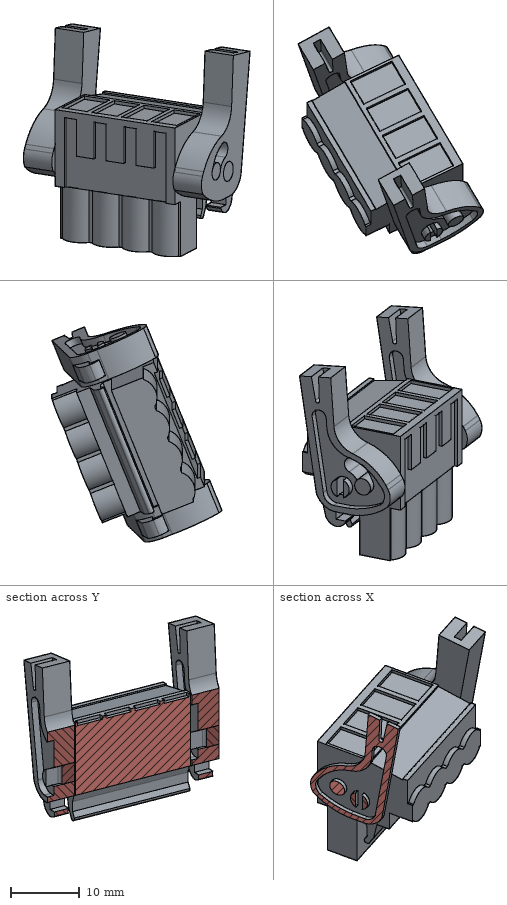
import cadquery as cq
import math


total_length = 29.7
pole_count = 4
pole_pitch = 5.0
lever_gap = 0.12
housing_length = pole_count * pole_pitch
housing_end = housing_length / 2
lever_width = total_length / 2 - housing_end - lever_gap
pole_places = [(i - (pole_count - 1) / 2) * pole_pitch for i in range(pole_count)]

housing_front = -7.42
housing_top = 11.7
top_ledge_y = 1.55
slope_top = 11.4
slope_bottom = 10.37
rim_top = 10.6
rim_y = 7.0
back_wall_y = 7.85
base_back_y = 4.72

bulge_chord = 4.43
socket_back_y = 8.67
socket_bottom = 3.05
socket_top = 6.18
socket_bulge = 1.15
post_back_y = -0.75
post_front_y = -5.73
post_bottom = -8.38
post_bulge = 0.98

recess_depth = 0.5
window_width = 4.22
window_back_y = 0.8
window_front_y = -6.1
comb_half_width = 8.45
comb_top = 10.7
tooth_width = 2.95
tooth_bottom = 5.08

pocket_depth = 1.1
grip_slot_depth = 3.68
hook_start = 1.2
hook_width = 2.5

pivot_z = 3.85
pivot_diameter = 2.97
pivot_slot_width = 1.05
pivot_slot_depth = 2.6
guide_diameter = 2.58
guide_orbit = 3.8
guide_angle = 14.5
slot_end_angle = 68.6
guide_slot_width = 2.47


def box(x_range, y_range, z_range):
    """Axis-aligned block between the given limits."""
    size = [b - a for a, b in (x_range, y_range, z_range)]
    return cq.Workplane("XY").box(*size, centered=False).translate((x_range[0], y_range[0], z_range[0]))


def orbit_point(radius, angle):
    """(Y, Z) point around the pivot; the angle rises from the -Y direction."""
    a = math.radians(angle)
    return (-radius * math.cos(a), pivot_z + radius * math.sin(a))


def pin_blank(place, diameter):
    """Cylinder through the full width of the lever."""
    return cq.Workplane("YZ").center(*place).circle(diameter / 2).extrude(lever_width)


def bulge_bar(plane, base, height, length):
    """Row of round-backed ribs, one per pole, drawn in the given plane and extruded."""
    half = bulge_chord / 2
    bars = cq.Workplane(plane)
    for x in pole_places:
        bars = (
            bars.moveTo(x - half, base)
            .threePointArc((x, base + height), (x + half, base))
            .close()
        )
    return bars.extrude(length)



def housing_block():
    """Main block with the sloped shoulder behind its top, extruded along the poles."""
    return (
        cq.Workplane("YZ", origin=(-housing_end, 0, 0))
        .moveTo(housing_front, 0)
        .lineTo(housing_front, housing_top)
        .lineTo(top_ledge_y, housing_top)
        .lineTo(top_ledge_y, slope_top)
        .lineTo(rim_y, slope_bottom)
        .lineTo(rim_y, rim_top)
        .lineTo(back_wall_y, rim_top)
        .lineTo(back_wall_y, socket_top)
        .lineTo(socket_back_y, socket_top)
        .lineTo(socket_back_y, socket_bottom)
        .lineTo(base_back_y, socket_bottom)
        .lineTo(base_back_y, 0)
        .close()
        .extrude(housing_length)
    )


def socket_bulges():
    """Rounded tops and bottoms of the wire sockets."""
    back = cq.Plane(origin=(0, socket_back_y, 0), xDir=(1, 0, 0), normal=(0, -1, 0))
    length = socket_back_y - base_back_y
    tops = bulge_bar(back, socket_top, socket_bulge, length)
    bottoms = bulge_bar(back, socket_bottom, -socket_bulge, length)
    return tops.union(bottoms)


def plug_posts():
    """Flat-backed post bar below the housing with a rounded front for each pole."""
    bar = box((-housing_end, housing_end), (post_front_y, post_back_y), (post_bottom, 0))
    floor = cq.Plane(origin=(0, 0, post_bottom), xDir=(1, 0, 0), normal=(0, 0, 1))
    return bar.union(bulge_bar(floor, post_front_y, -post_bulge, -post_bottom))


def latch_tail():
    """Bent latch strip hanging below the housing, behind the posts."""
    return (
        cq.Workplane("YZ", origin=(-housing_end, 0, 0))
        .moveTo(2.65, 0)
        .lineTo(2.08, -2.75)
        .lineTo(1.3, -4.13)
        .threePointArc((0.7, -4.22), (0.5, -3.7))
        .lineTo(0.98, -2.85)
        .lineTo(0.98, -1.25)
        .lineTo(0.6, 0)
        .close()
        .extrude(housing_length)
    )


def top_windows():
    """Shallow rectangular recess above each pole."""
    half = window_width / 2
    depth_range = (housing_top - recess_depth, housing_top)
    windows = cq.Workplane("XY")
    for x in pole_places:
        windows = windows.union(box((x - half, x + half), (window_front_y, window_back_y), depth_range))
    return windows


def front_comb():
    """Comb-shaped recess in the front face, open at the bottom."""
    depth_range = (housing_front, housing_front + recess_depth)
    comb = box((-comb_half_width, comb_half_width), depth_range, (0, comb_top))
    half = tooth_width / 2
    for left, right in zip(pole_places, pole_places[1:]):
        middle = (left + right) / 2
        comb = comb.cut(box((middle - half, middle + half), depth_range, (tooth_bottom, comb_top)))
    return comb


def make_housing():
    body = housing_block().union(socket_bulges()).union(plug_posts()).union(latch_tail())
    return body.cut(top_windows()).cut(front_comb())



def lever_outline():
    return (
        cq.Workplane("YZ")
        .moveTo(6.68, 20.45)
        .lineTo(1.55, 21.15)
        .lineTo(1.0, 13.48)
        .threePointArc((0.18, 11.3), (-2.1, 9.77))
        .threePointArc((-4.57, 8.7), (-7.55, 5.75))
        .lineTo(-7.9, 5.15)
        .threePointArc((-8.23, 3.92), (-7.78, 2.35))
        .threePointArc((-4.28, 0.45), (-0.42, 0))
        .lineTo(1.05, 0)
        .threePointArc((3.05, 1.0), (3.92, 2.38))
        .close()
        .extrude(lever_width)
    )


def lever_pocket():
    """Recess that leaves a rim around the lever's outer face."""
    return (
        cq.Workplane("YZ")
        .moveTo(4.6, 14.5)
        .threePointArc((3.42, 15.65), (2.3, 14.5))
        .lineTo(2.17, 12.9)
        .threePointArc((1.05, 10.42), (-1.43, 9.03))
        .threePointArc((-4.35, 7.78), (-6.6, 5.45))
        .threePointArc((-7.28, 3.85), (-6.53, 2.47))
        .threePointArc((-4.2, 1.48), (-1.28, 0.98))
        .lineTo(1.05, 0.95)
        .threePointArc((2.3, 1.55), (2.75, 2.7))
        .close()
        .extrude(pocket_depth)
    )


def grip_slot():
    """Tapered slot with a round end, open at the top of the lever."""
    return (
        cq.Workplane("YZ")
        .moveTo(4.85, 21.38)
        .lineTo(4.05, 17.1)
        .threePointArc((3.75, 16.75), (3.42, 17.1))
        .lineTo(3.55, 21.38)
        .close()
        .extrude(grip_slot_depth)
    )


def lever_hook():
    """Narrow hook below the lever; its root overlaps the lever plate."""
    return (
        cq.Workplane("YZ", origin=(hook_start, 0, 0))
        .moveTo(3.9, 2.25)
        .lineTo(3.0, -1.5)
        .threePointArc((2.2, -2.52), (1.2, -2.88))
        .threePointArc((0.25, -2.52), (-0.3, -1.9))
        .lineTo(-0.27, -1.72)
        .lineTo(1.28, -1.72)
        .lineTo(1.35, 0.3)
        .close()
        .extrude(hook_width)
    )


def guide_slot():
    """Arc-shaped slot around the pivot, from the guide pin to a rounded end, through the lever."""
    inner = guide_orbit - guide_slot_width / 2
    outer = guide_orbit + guide_slot_width / 2
    middle_angle = (guide_angle + slot_end_angle) / 2
    arc_band = (
        cq.Workplane("YZ")
        .moveTo(*orbit_point(inner, guide_angle))
        .threePointArc(orbit_point(inner, middle_angle), orbit_point(inner, slot_end_angle))
        .lineTo(*orbit_point(outer, slot_end_angle))
        .threePointArc(orbit_point(outer, middle_angle), orbit_point(outer, guide_angle))
        .close()
        .extrude(lever_width)
    )
    return arc_band.union(pin_blank(orbit_point(guide_orbit, slot_end_angle), guide_slot_width))


def pivot_blank():
    return pin_blank((0, pivot_z), pivot_diameter)


def make_guide_pin():
    return pin_blank(orbit_point(guide_orbit, guide_angle), guide_diameter)


def make_lever():
    plate = lever_outline().union(lever_hook())
    plate = plate.cut(lever_pocket()).cut(grip_slot()).cut(guide_slot())
    return plate.cut(pivot_blank()).cut(make_guide_pin())


def make_pivot_pin():
    """Pivot pin with a round-bottomed screwdriver slot across its outer end."""
    half = pivot_slot_width / 2
    straight = pivot_slot_depth - half
    slot = (
        cq.Workplane("XY", origin=(0, 0, pivot_z - pivot_diameter / 2))
        .moveTo(0, -half)
        .lineTo(straight, -half)
        .threePointArc((pivot_slot_depth, 0), (straight, half))
        .lineTo(0, half)
        .close()
        .extrude(pivot_diameter)
    )
    return pivot_blank().cut(slot)



housing = make_housing()
bodies = [housing.val()]
for lever_x in (-total_length / 2, housing_end + lever_gap):
    for body in (make_lever(), make_pivot_pin(), make_guide_pin()):
        bodies.append(body.translate((lever_x, 0, 0)).val())

result = cq.Compound.makeCompound(bodies)